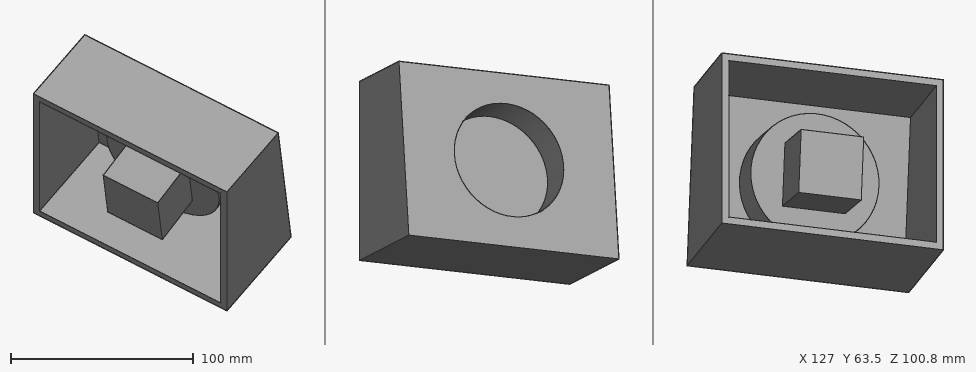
import cadquery as cq
import math

width = 127.0
height = 100.8
depth_bottom = 63.5
depth_top = 50.8
wall = 4.1

cup_inner_diameter = 66.0
cup_outer_diameter = cup_inner_diameter + 2 * 3.7
cup_projection = 21.0
cup_floor = wall
block_side = 35.8
block_length = 30.0

back_lean = math.atan2(depth_bottom - depth_top, height)
wall_run_y = wall / math.cos(back_lean)
cup_length = wall + cup_projection


def back_y(z):
    """Y of the outer back face at height z."""
    return depth_bottom - z * math.tan(back_lean)


def side_prism(points, length):
    """Extrude a (Y, Z) outline along X, centred on X = 0."""
    return cq.Workplane("YZ").polyline(points).close().extrude(length / 2, both=True)


outside = side_prism(
    [(0, 0), (depth_bottom, 0), (depth_top, height), (0, height)],
    width,
)
floor_z = wall
ceiling_z = height - wall
cavity = side_prism(
    [
        (0, floor_z),
        (back_y(floor_z) - wall_run_y, floor_z),
        (back_y(ceiling_z) - wall_run_y, ceiling_z),
        (0, ceiling_z),
    ],
    width - 2 * wall,
)
housing = outside.cut(cavity)

back_plane = cq.Plane(
    origin=(0, back_y(height / 2), height / 2),
    xDir=(1, 0, 0),
    normal=(0, -math.cos(back_lean), -math.sin(back_lean)),
)

cup = cq.Workplane(back_plane).circle(cup_outer_diameter / 2).extrude(cup_length)
block = (
    cq.Workplane(back_plane)
    .workplane(offset=cup_length)
    .rect(block_side, block_side)
    .extrude(block_length)
)
bore = cq.Workplane(back_plane).circle(cup_inner_diameter / 2).extrude(cup_length - cup_floor)

result = housing.union(cup).union(block).cut(bore)